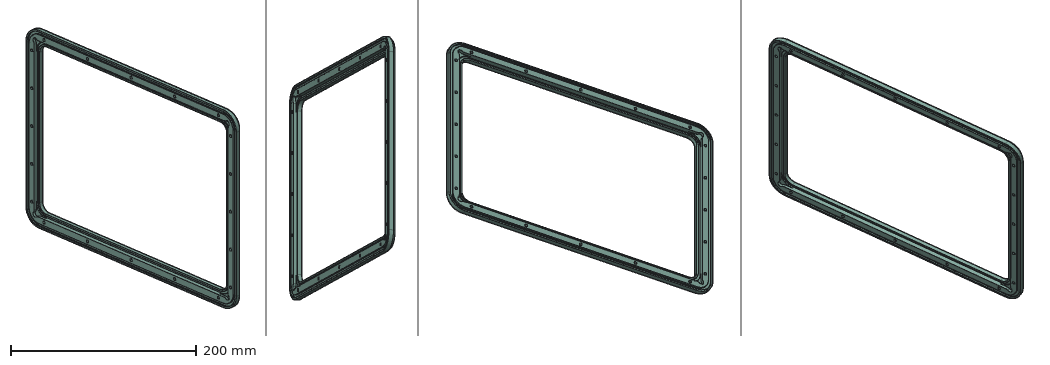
import cadquery as cq

length = 323.0
height = 236.0
depth = 8.0
outer_radius = 20.0
back_chamfer = 3.0

lip_width = 2.0
outer_groove_width = 3.2
pocket_edge = 13.0
inner_groove_width = 3.13
band_start = lip_width + outer_groove_width
inner_lip_start = pocket_edge + inner_groove_width
opening_edge = inner_lip_start + lip_width

pocket_depth = 3.2
groove_depth = 2.0

opening_radius = 10.0
inner_lip_radius = opening_radius + lip_width
inner_groove_radius = inner_lip_radius + inner_groove_width

relief_radius = 3.0
relief_inset = 1.3
relief_blend = 5.0

hole_radius = 1.55
hole_depth = 4.0
tip_length = hole_radius
hole_inset = (band_start + pocket_edge) / 2
holes_per_side = 5
hole_pitch_x = 67.0
hole_pitch_z = 45.2


def rounded_block(inset, radius, start, end):
    """Rounded rectangle, inset from the outer edge, filling Y = start to Y = end."""
    block = cq.Workplane("XZ", origin=(0, start, 0)).rect(length - 2 * inset, height - 2 * inset)
    block = block.extrude(start - end)
    if radius > 0:
        block = block.edges("|Y").fillet(radius)
    return block


def concentric_block(inset, start, end):
    """Rounded block whose corners share their centres with the outer corners."""
    return rounded_block(inset, outer_radius - inset, start, end)


def pins(points, radius, start, end):
    """Cylinders along Y, used to cut round holes."""
    return cq.Workplane("XZ", origin=(0, start, 0)).pushPoints(points).circle(radius).extrude(start - end)


body = concentric_block(0, 0, depth).faces(">Y").edges().chamfer(back_chamfer)

outer_groove = concentric_block(lip_width, 0, groove_depth)
outer_groove = outer_groove.cut(concentric_block(band_start, 0, groove_depth))
body = body.cut(outer_groove)

pocket = rounded_block(pocket_edge, 0, 0, pocket_depth)
relief_x = length / 2 - pocket_edge - relief_inset
relief_z = height / 2 - pocket_edge - relief_inset
relief_points = [(side_x * relief_x, side_z * relief_z) for side_x in (-1, 1) for side_z in (-1, 1)]
pocket = pocket.union(pins(relief_points, relief_radius, 0, pocket_depth))
pocket = pocket.edges("|Y").fillet(relief_blend)
body = body.cut(pocket)

groove_floor = pocket_depth + groove_depth
inner_groove = rounded_block(pocket_edge, inner_groove_radius, pocket_depth, groove_floor)
inner_groove = inner_groove.cut(
    rounded_block(inner_lip_start, inner_lip_radius, pocket_depth, groove_floor)
)
body = body.cut(inner_groove)

body = body.cut(rounded_block(opening_edge, opening_radius, 0, depth))

hole_x = length / 2 - hole_inset
hole_z = height / 2 - hole_inset
steps = [index - (holes_per_side - 1) / 2 for index in range(holes_per_side)]
hole_points = [(step * hole_pitch_x, side * hole_z) for step in steps for side in (-1, 1)]
hole_points += [(side * hole_x, step * hole_pitch_z) for step in steps for side in (-1, 1)]
body = body.cut(pins(hole_points, hole_radius, 0, hole_depth))
for x, z in hole_points:
    tip_base = cq.Vector(x, hole_depth, z)
    tip = cq.Solid.makeCone(hole_radius, 0, tip_length, tip_base, cq.Vector(0, 1, 0))
    body = body.cut(cq.Workplane(tip))

result = body